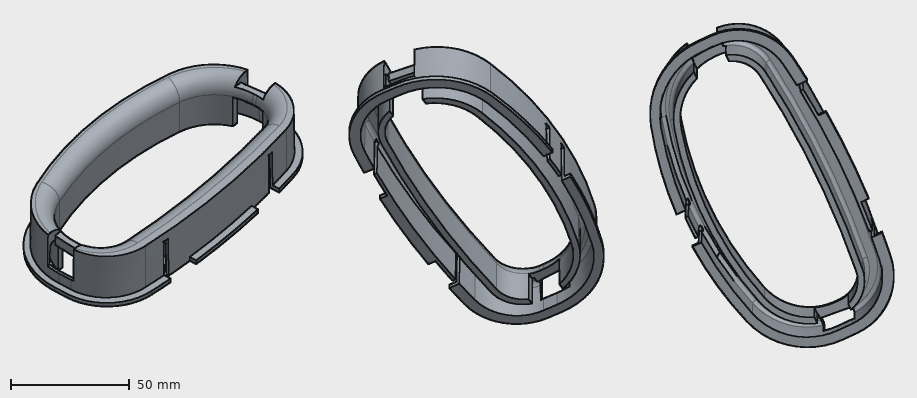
import cadquery as cq
import math

HEIGHT = 25.0
FLANGE_THICKNESS = 2.1
SILL_TOP = 7.5
BRIDGE_BOTTOM = 16.1
BRIDGE_TOP = 21.1
CAVITY_ROOF = 18.8
SLOT_TOP = 20.5

WALL_DRAFT = 0.7
OUTER_WALL_THICKNESS = 1.4
INNER_WALL_THICKNESS = 2.9
LIP_RADIUS = 8.1
CAVITY_FILLET = 2.0

FLANGE_OUTLINE = (38.4, 38.3, 71.4, 161.9, 373.0, 34.7, 27.1)
WALL_OUTLINE = (35.5, 34.8, 68.2, 164.3, 363.2, 32.0, 23.8)
OPENING_OUTLINE = (25.8, 22.1, 59.0, 152.7, 405.4, 25.1, 13.7)

WINDOW_X_MIN = -5.0
WINDOW_X_MAX = 9.3
INNER_GAP_X_MAX = 10.3
BRIDGE_OUTER_LEFT = 62.5
BRIDGE_OUTER_RIGHT = 63.8

SLOT_WIDTH = 2.7
LEFT_TONGUE_REACH = 7.7
RIGHT_TONGUE_REACH = 36.5
RIGHT_TAB_REACH = 20.8
SLOT_DEPTH_MARGIN = 0.7

CUT_REACH = 85.6


def grown(outline, distance):
    """Outline moved outward by a distance, or inward when it is negative."""
    return tuple(size + distance for size in outline)


def outline_prism(outline, height, taper=0.0):
    """Prism on a closed outline of smoothly joined arcs, symmetric about the X axis."""
    left, right, reach, left_radius, right_radius, left_corner, right_corner = outline

    def corner_points(edge, direction, side_radius, corner_radius):
        """Joint of a corner arc with the side arc, its middle, and its end on the Y reach."""
        side_x = direction * (edge - side_radius)
        corner_y = reach - corner_radius
        span = side_radius - corner_radius
        angle = math.asin(corner_y / span)
        corner_x = side_x + direction * span * math.cos(angle)
        half_angle = (angle + math.pi / 2) / 2
        joint = (
            side_x + direction * side_radius * math.cos(angle),
            side_radius * math.sin(angle),
        )
        middle = (
            corner_x + direction * corner_radius * math.cos(half_angle),
            corner_y + corner_radius * math.sin(half_angle),
        )
        return joint, middle, (corner_x, reach)

    def mirrored(point):
        return point[0], -point[1]

    left_joint, left_middle, left_end = corner_points(left, -1, left_radius, left_corner)
    right_joint, right_middle, right_end = corner_points(right, 1, right_radius, right_corner)
    return (
        cq.Workplane("XY")
        .moveTo(*mirrored(left_joint))
        .threePointArc((-left, 0), left_joint)
        .threePointArc(left_middle, left_end)
        .lineTo(*right_end)
        .threePointArc(right_middle, right_joint)
        .threePointArc((right, 0), mirrored(right_joint))
        .threePointArc(mirrored(right_middle), mirrored(right_end))
        .lineTo(*mirrored(left_end))
        .threePointArc(mirrored(left_middle), mirrored(left_joint))
        .close()
        .extrude(height, taper=taper)
    )


def block(x_range, y_range, z_range):
    """Box spanning the given ranges."""
    lows, highs = zip(x_range, y_range, z_range)
    sizes = [high - low for low, high in zip(lows, highs)]
    return cq.Workplane("XY").box(*sizes, centered=False).translate(lows)


def make_flange():
    """Thin rim at the foot, interrupted at the tongues on both long sides."""
    heights = (0, FLANGE_THICKNESS)
    flange = outline_prism(FLANGE_OUTLINE, FLANGE_THICKNESS)
    flange = flange.cut(
        block((-CUT_REACH, 0), (-LEFT_TONGUE_REACH, LEFT_TONGUE_REACH), heights)
    )
    for y_range in (
        (RIGHT_TAB_REACH, RIGHT_TONGUE_REACH),
        (-RIGHT_TONGUE_REACH, -RIGHT_TAB_REACH),
    ):
        flange = flange.cut(block((0, CUT_REACH), y_range, heights))
    return flange


def make_cavity():
    """Channel between the outer and the inner wall, open at the bottom."""
    outside = outline_prism(grown(WALL_OUTLINE, -OUTER_WALL_THICKNESS), CAVITY_ROOF, WALL_DRAFT)
    inside = outline_prism(grown(OPENING_OUTLINE, INNER_WALL_THICKNESS), CAVITY_ROOF)
    return outside.cut(inside).faces(">Z").edges().fillet(CAVITY_FILLET)


def make_rim():
    """Solid rim: drafted wall, foot flange and a rounded lip around the opening."""
    wall = outline_prism(WALL_OUTLINE, HEIGHT, WALL_DRAFT)
    rim = wall.union(make_flange()).cut(outline_prism(OPENING_OUTLINE, HEIGHT))
    lip_edges = rim.faces(">Z").val().innerWires()[0].Edges()
    return rim.newObject(lip_edges).fillet(LIP_RADIUS)


def make_bridge_zone():
    """Region of the bridge bar at the +Y end, from the X axis to the bar's outer face."""
    return (
        cq.Workplane("XY")
        .workplane(offset=BRIDGE_BOTTOM)
        .moveTo(WINDOW_X_MIN, 0)
        .lineTo(WINDOW_X_MIN, BRIDGE_OUTER_LEFT)
        .lineTo(WINDOW_X_MAX, BRIDGE_OUTER_RIGHT)
        .lineTo(WINDOW_X_MAX, 0)
        .close()
        .extrude(BRIDGE_TOP - BRIDGE_BOTTOM)
    )


def make_window(bridge_zone):
    """Cutter for the +Y window, sparing the bridge bar and the sill below the opening."""
    end_y = (0, CUT_REACH)
    wall_inside = outline_prism(grown(WALL_OUTLINE, -OUTER_WALL_THICKNESS), HEIGHT, WALL_DRAFT)
    above_sill = block((WINDOW_X_MIN, WINDOW_X_MAX), end_y, (SILL_TOP, HEIGHT))
    inner_gap = block((WINDOW_X_MIN, INNER_GAP_X_MAX), end_y, (0, BRIDGE_BOTTOM))
    return above_sill.cut(bridge_zone).union(inner_gap.intersect(wall_inside))


def make_ring():
    """Rim hollowed by the cavity and opened by a window with a bridge bar at each end."""
    bridge_zone = make_bridge_zone()
    window = make_window(bridge_zone)
    cavity = make_cavity().cut(bridge_zone).cut(bridge_zone.mirror("XZ"))
    return make_rim().cut(cavity).cut(window).cut(window.mirror("XZ"))


def cut_tongue_slots(ring):
    """Narrow upright slots through the outer wall at the ends of each tongue."""
    band = outline_prism(FLANGE_OUTLINE, SLOT_TOP).cut(
        outline_prism(
            grown(WALL_OUTLINE, -OUTER_WALL_THICKNESS - SLOT_DEPTH_MARGIN), SLOT_TOP, WALL_DRAFT
        )
    )
    for x_range, reach in (
        ((-CUT_REACH, 0), LEFT_TONGUE_REACH),
        ((0, CUT_REACH), RIGHT_TONGUE_REACH),
    ):
        for y_range in ((reach - SLOT_WIDTH, reach), (-reach, SLOT_WIDTH - reach)):
            ring = ring.cut(block(x_range, y_range, (0, SLOT_TOP)).intersect(band))
    return ring


result = cut_tongue_slots(make_ring())